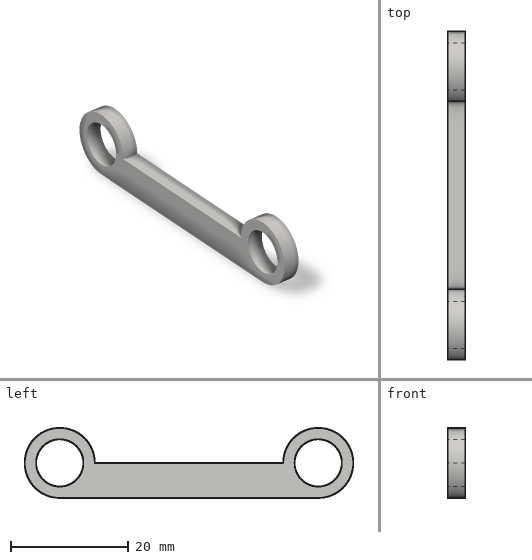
import cadquery as cq

length = 56.0
thickness = 3.0
ring_diameter = 12.0
hole_diameter = 8.0

ring_radius = ring_diameter / 2
center_spacing = length - ring_diameter
ring_centers = [(-center_spacing / 2, 0), (center_spacing / 2, 0)]


def plate_sketch():
    """Sketch plane across the thickness: local x is Y, local y is Z."""
    return cq.Workplane("YZ", origin=(-thickness / 2, 0, 0))


bar = (
    plate_sketch()
    .center(0, -ring_radius / 2)
    .rect(center_spacing, ring_radius)
    .extrude(thickness)
)

rings = plate_sketch().pushPoints(ring_centers).circle(ring_radius).extrude(thickness)
holes = plate_sketch().pushPoints(ring_centers).circle(hole_diameter / 2).extrude(thickness)

result = bar.union(rings).cut(holes)